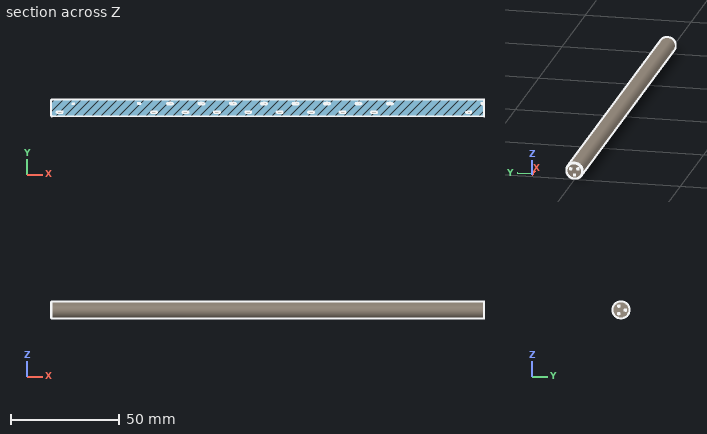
import cadquery as cq
import math

rod_length = 200.0
rod_diameter = 8.0
entry_chamfer = 0.4

channel_count = 3
channel_diameter = 0.8
channel_circle_radius = 2.0
start_angle = 26.0
helix_angle = 30.0
channel_lead = math.pi * rod_diameter / math.tan(math.radians(helix_angle))
overrun = 1.0

rod_start = -rod_length / 2


def make_rod():
    rod = cq.Workplane("YZ", origin=(rod_start, 0, 0)).circle(rod_diameter / 2).extrude(rod_length)
    return rod.faces("<X").chamfer(entry_chamfer)


def make_channel(face_angle):
    """Right-handed helical cutter that crosses the -X face at face_angle."""
    cutter_length = rod_length + 2 * overrun
    cutter_twist = 360 * cutter_length / channel_lead
    cutter_angle = math.radians(face_angle - 360 * overrun / channel_lead)
    return (
        cq.Workplane("YZ", origin=(rod_start - overrun, 0, 0))
        .moveTo(channel_circle_radius * math.cos(cutter_angle), channel_circle_radius * math.sin(cutter_angle))
        .circle(channel_diameter / 2)
        .twistExtrude(cutter_length, cutter_twist)
    )


def drill_channels(rod):
    for index in range(channel_count):
        rod = rod.cut(make_channel(start_angle + index * 360 / channel_count))
    return rod


result = drill_channels(make_rod())